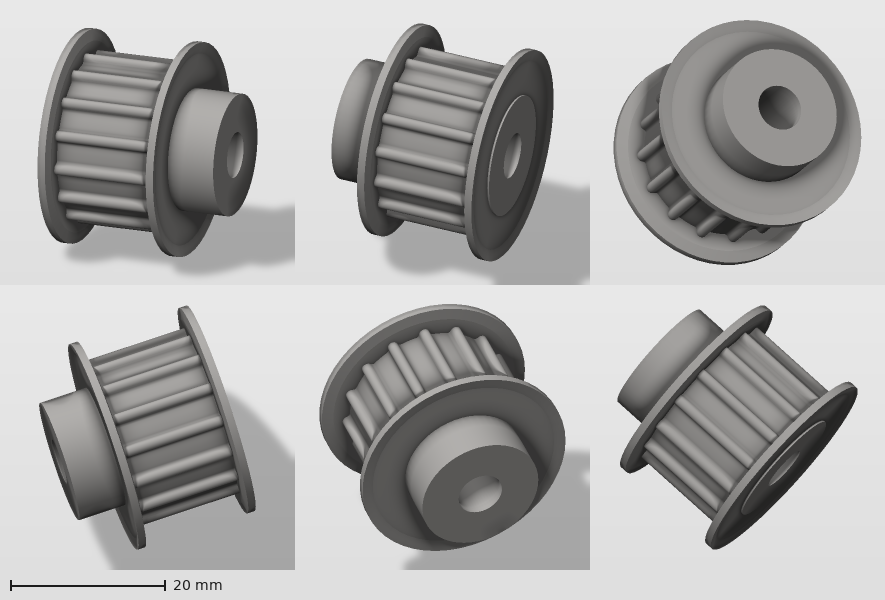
import cadquery as cq
import math

flange_diameter = 28.0
overall_length = 22.0
belt_section_length = 16.0
hub_diameter = 16.0
bore_diameter = 6.0

flange_thickness = 1.0
flange_dish = 0.25
flange_flat_diameter = 25.0

tooth_count = 15
crest_radius = 11.3
root_radius = 10.22
tip_round = 0.7
root_fillet = 0.4
flank_angle = 13.0


def x_cylinder(diameter, start, end):
    """Solid cylinder on the X axis between two X positions."""
    return cq.Workplane("YZ", origin=(start, 0, 0)).circle(diameter / 2).extrude(end - start)


def dished_flange(rim_face, inward):
    """Flange with its rim at rim_face; its flat web is dished along inward (+1 or -1)."""
    rim_radius = flange_diameter / 2
    flat_radius = flange_flat_diameter / 2
    web_face = rim_face + inward * flange_dish
    depth = inward * flange_thickness
    return (
        cq.Workplane("XY")
        .moveTo(web_face, 0)
        .lineTo(web_face, flat_radius)
        .lineTo(rim_face, rim_radius)
        .lineTo(rim_face + depth, rim_radius)
        .lineTo(web_face + depth, flat_radius)
        .lineTo(web_face + depth, 0)
        .close()
        .revolve(360, (0, 0, 0), (1, 0, 0))
    )


def tooth(start, end):
    """Tooth pointing along +Z: round tip, leaning flanks and fillets onto the groove floor."""
    lean = math.radians(flank_angle)

    tip_centre = crest_radius - tip_round
    flank_top = (tip_round * math.cos(lean), tip_centre + tip_round * math.sin(lean))

    flank_offset = tip_round + root_fillet
    centre_distance = root_radius + root_fillet
    centre_angle = math.asin((flank_offset + tip_centre * math.sin(lean)) / centre_distance) - lean
    fillet_y = centre_distance * math.sin(centre_angle)
    fillet_z = centre_distance * math.cos(centre_angle)

    def on_fillet(direction):
        return (
            fillet_y + root_fillet * math.cos(direction),
            fillet_z + root_fillet * math.sin(direction),
        )

    flank_direction = math.pi + lean
    floor_direction = 1.5 * math.pi - centre_angle
    flank_bottom = on_fillet(flank_direction)
    fillet_middle = on_fillet((flank_direction + floor_direction) / 2)
    fillet_end = on_fillet(floor_direction)

    def mirrored(point):
        return (-point[0], point[1])

    return (
        cq.Workplane("YZ", origin=(start, 0, 0))
        .moveTo(*flank_top)
        .lineTo(*flank_bottom)
        .threePointArc(fillet_middle, fillet_end)
        .lineTo(0, 0)
        .lineTo(*mirrored(fillet_end))
        .threePointArc(mirrored(fillet_middle), mirrored(flank_bottom))
        .lineTo(*mirrored(flank_top))
        .threePointArc((0, crest_radius), flank_top)
        .close()
        .extrude(end - start)
    )


track_start = flange_dish + flange_thickness / 2
track_end = belt_section_length - track_start
body = x_cylinder(2 * root_radius, track_start, track_end)
single_tooth = tooth(track_start, track_end)
for index in range(tooth_count):
    body = body.union(single_tooth.rotate((0, 0, 0), (1, 0, 0), index * 360 / tooth_count))

body = body.union(dished_flange(0, 1))
body = body.union(dished_flange(belt_section_length, -1))

body = body.union(x_cylinder(hub_diameter, 0, overall_length))

result = body.cut(x_cylinder(bore_diameter, 0, overall_length))